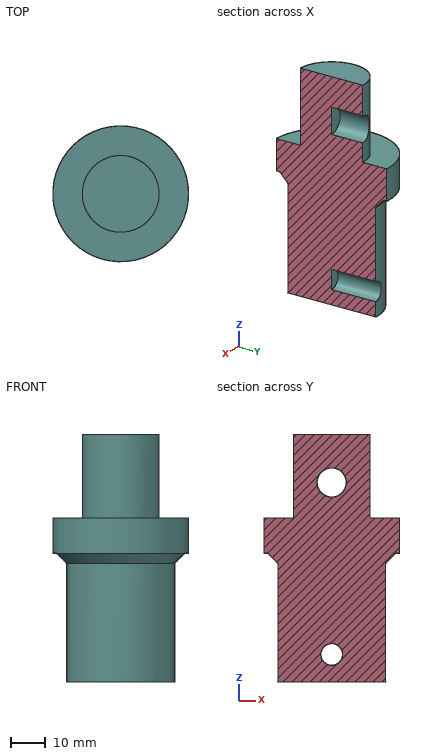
import cadquery as cq

total_height = 71.0
body_diameter = 31.0
body_height = 34.1
cone_height = 2.85
flange_diameter = 39.0
flange_height = 10.15
post_diameter = 22.0

post_hole_diameter = 8.3
post_hole_z = 57.2
body_hole_diameter = 6.2
body_hole_z = 7.95

body_radius = body_diameter / 2
cone_top_radius = body_radius + cone_height
flange_radius = flange_diameter / 2
post_radius = post_diameter / 2
flange_bottom_z = body_height + cone_height
flange_top_z = flange_bottom_z + flange_height


def stepped_pin():
    """Revolve the half outline about the Z axis."""
    return (
        cq.Workplane("XZ")
        .lineTo(body_radius, 0)
        .lineTo(body_radius, body_height)
        .lineTo(cone_top_radius, flange_bottom_z)
        .lineTo(flange_radius, flange_bottom_z)
        .lineTo(flange_radius, flange_top_z)
        .lineTo(post_radius, flange_top_z)
        .lineTo(post_radius, total_height)
        .lineTo(0, total_height)
        .close()
        .revolve(360, (0, 0), (0, 1))
    )


def radial_hole(diameter, z):
    """Cutter running from the pin axis out past the +Y side."""
    return cq.Workplane("XZ").center(0, z).circle(diameter / 2).extrude(-flange_radius)


result = (
    stepped_pin()
    .cut(radial_hole(post_hole_diameter, post_hole_z))
    .cut(radial_hole(body_hole_diameter, body_hole_z))
)